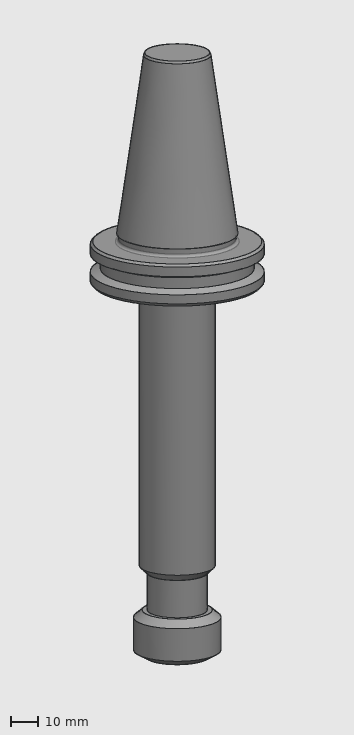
import cadquery as cq
import math

total_height = 228.5

taper_length = 68.3
taper_base_radius = 22.2
taper_slope = 7 / 48
tip_edge_height = 1.0
tip_edge_width = 0.5

relief_radius = 21.5
relief_fillet = 1.1

flange_radius = 31.7
flange_top_offset = 3.2
flange_bottom_offset = 19.2
flange_top_chamfer = 1.0
flange_bottom_chamfer = 1.1
groove_center_offset = 11.2
groove_radius = 28.0
groove_floor_half_width = 2.0
groove_mouth_half_width = 3.5

shaft_radius = 14.0
shaft_top_fillet = 2.0
shaft_end_height = 31.7
shaft_chamfer = 2.7

neck_radius = 11.0
collar_radius = 16.0
collar_height = 17.5
collar_top_chamfer_height = 2.7
collar_top_chamfer_width = 3.2
collar_bottom_chamfer_height = 2.5
collar_bottom_chamfer_width = 4.3

gauge_z = total_height - taper_length
flange_top_z = gauge_z - flange_top_offset
flange_bottom_z = gauge_z - flange_bottom_offset
groove_z = gauge_z - groove_center_offset
tip_edge_z = total_height - tip_edge_height
tip_edge_radius = taper_base_radius - taper_slope * (tip_edge_z - gauge_z)


def concave_mid(wall_radius, face_z, fillet, side):
    """Middle point of a fillet between a wall and a flat face; side is +1 above the face, -1 below."""
    reach = fillet * (1 - math.sqrt(0.5))
    return wall_radius + reach, face_z + side * reach


profile = (
    cq.Workplane("XZ")
    .moveTo(0, 0)
    .lineTo(collar_radius - collar_bottom_chamfer_width, 0)
    .lineTo(collar_radius, collar_bottom_chamfer_height)
    .lineTo(collar_radius, collar_height - collar_top_chamfer_height)
    .lineTo(collar_radius - collar_top_chamfer_width, collar_height)
    .lineTo(neck_radius, collar_height)
    .lineTo(neck_radius, shaft_end_height)
    .lineTo(shaft_radius - shaft_chamfer, shaft_end_height)
    .lineTo(shaft_radius, shaft_end_height + shaft_chamfer)
    .lineTo(shaft_radius, flange_bottom_z - shaft_top_fillet)
    .threePointArc(
        concave_mid(shaft_radius, flange_bottom_z, shaft_top_fillet, -1),
        (shaft_radius + shaft_top_fillet, flange_bottom_z),
    )
    .lineTo(flange_radius - flange_bottom_chamfer, flange_bottom_z)
    .lineTo(flange_radius, flange_bottom_z + flange_bottom_chamfer)
    .lineTo(flange_radius, groove_z - groove_mouth_half_width)
    .lineTo(groove_radius, groove_z - groove_floor_half_width)
    .lineTo(groove_radius, groove_z + groove_floor_half_width)
    .lineTo(flange_radius, groove_z + groove_mouth_half_width)
    .lineTo(flange_radius, flange_top_z - flange_top_chamfer)
    .lineTo(flange_radius - flange_top_chamfer, flange_top_z)
    .lineTo(relief_radius + relief_fillet, flange_top_z)
    .threePointArc(
        concave_mid(relief_radius, flange_top_z, relief_fillet, 1),
        (relief_radius, flange_top_z + relief_fillet),
    )
    .lineTo(relief_radius, gauge_z)
    .lineTo(taper_base_radius, gauge_z)
    .lineTo(tip_edge_radius, tip_edge_z)
    .lineTo(tip_edge_radius - tip_edge_width, total_height)
    .lineTo(0, total_height)
    .close()
)

result = profile.revolve(360, (0, 0, 0), (0, 1, 0))